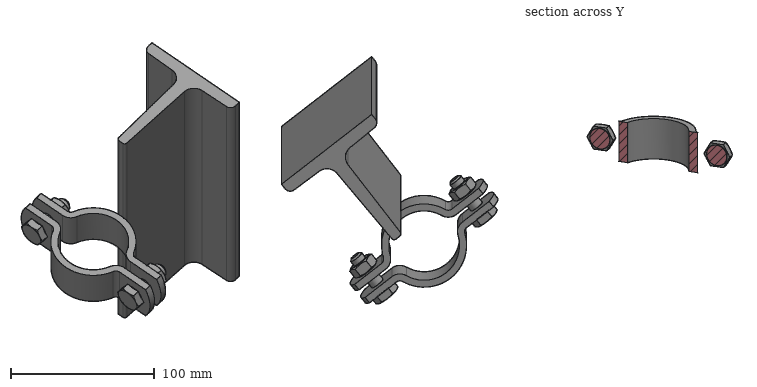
import cadquery as cq
import math

post_length = 200.0
post_width = 80.0
post_depth = 80.0
flange_thickness = 9.0
web_thickness = 9.0
rolled_slope = 0.02
root_radius = flange_thickness
toe_radius = flange_thickness / 2
tip_radius = 2.0

clamp_height = 30.0
clamp_span = 118.0
strap_thickness = 5.0
ring_outer_radius = 29.5
ring_inner_radius = ring_outer_radius - strap_thickness
ear_gap = 6.8
ear_inner_y = ear_gap / 2
ear_outer_y = ear_inner_y + strap_thickness
ear_end_radius = 30.0
bend_outer_radius = 4.0
bend_inner_radius = bend_outer_radius + strap_thickness
weld_overlap = 0.2

bolt_spacing = 88.0
bolt_diameter = 10.0
bolt_length = 30.2
bolt_end_chamfer = 1.5
hex_across_flats = 17.0
hex_across_corners = hex_across_flats / math.cos(math.pi / 6)
head_height = 6.5
nut_height = 8.2
nut_bevel_diameter = 15.5
head_bevel_diameter = hex_across_flats
washer_face_diameter = 15.5
washer_face_height = 0.5
hex_bevel_angle = math.radians(30)
hex_margin = 2.0

web_tip_y = ring_outer_radius - weld_overlap
flange_back_y = web_tip_y + post_depth


def make_post():
    """Tapered T section with rounded toes, roots and web tip."""
    half_width = post_width / 2

    def flange_face_y(x):
        return flange_back_y - flange_thickness - rolled_slope * (half_width / 2 - x)

    def web_half_at(y):
        return web_thickness / 2 + rolled_slope * (y - web_tip_y - post_depth / 2)

    toe_y = flange_face_y(half_width)
    root_x = web_half_at(flange_face_y(web_thickness / 2))
    root_y = flange_face_y(root_x)
    tip_x = web_half_at(web_tip_y)
    right_side = [
        (half_width, flange_back_y),
        (half_width, toe_y),
        (root_x, root_y),
        (tip_x, web_tip_y),
    ]
    left_side = [(-x, y) for x, y in reversed(right_side)]
    post = (
        cq.Workplane("XY")
        .polyline(right_side + left_side)
        .close()
        .extrude(post_length / 2, both=True)
    )
    rounded_corners = [
        ((half_width, toe_y), toe_radius),
        ((root_x, root_y), root_radius),
        ((tip_x, web_tip_y), tip_radius),
    ]
    for (x, y), radius in rounded_corners:
        for side in (-1, 1):
            corner_edge = cq.selectors.NearestToPointSelector((side * x, y, 0))
            post = post.edges("|Z").edges(corner_edge).fillet(radius)
    return post


def make_clamp_half():
    """Half of the clamp on the +Y side: an arched strap with two flat ears."""
    half_span = clamp_span / 2
    bend_y = ear_outer_y + bend_outer_radius
    bend_distance = ring_outer_radius + bend_outer_radius
    bend_angle = math.asin(bend_y / bend_distance)
    bend_x = bend_distance * math.cos(bend_angle)
    bend_mid_angle = (bend_angle + math.pi + 1.5 * math.pi) / 2

    def bend_middle(radius):
        return bend_x + radius * math.cos(bend_mid_angle), bend_y + radius * math.sin(bend_mid_angle)

    def ring_point(radius):
        return radius * math.cos(bend_angle), radius * math.sin(bend_angle)

    def mirrored(point):
        return -point[0], point[1]

    outer_bend = bend_middle(bend_outer_radius)
    inner_bend = bend_middle(bend_inner_radius)
    outer_end = ring_point(ring_outer_radius)
    inner_end = ring_point(ring_inner_radius)
    strap = (
        cq.Workplane("XY")
        .moveTo(half_span, ear_outer_y)
        .lineTo(bend_x, ear_outer_y)
        .threePointArc(outer_bend, outer_end)
        .threePointArc((0, ring_outer_radius), mirrored(outer_end))
        .threePointArc(mirrored(outer_bend), (-bend_x, ear_outer_y))
        .lineTo(-half_span, ear_outer_y)
        .lineTo(-half_span, ear_inner_y)
        .lineTo(-bend_x, ear_inner_y)
        .threePointArc(mirrored(inner_bend), mirrored(inner_end))
        .threePointArc((0, ring_inner_radius), inner_end)
        .threePointArc(inner_bend, (bend_x, ear_inner_y))
        .lineTo(half_span, ear_inner_y)
        .close()
        .extrude(clamp_height / 2, both=True)
    )
    return strap.intersect(make_ear_outline())


def make_ear_outline():
    """Block along Y whose two ends are the arcs that round the ears."""
    half_span = clamp_span / 2
    half_height = clamp_height / 2
    arc_rise = ear_end_radius - math.sqrt(ear_end_radius**2 - half_height**2)
    corner_x = half_span - arc_rise
    return (
        cq.Workplane("XZ")
        .moveTo(-corner_x, -half_height)
        .lineTo(corner_x, -half_height)
        .threePointArc((half_span, 0), (corner_x, half_height))
        .lineTo(-corner_x, half_height)
        .threePointArc((-half_span, 0), (-corner_x, -half_height))
        .close()
        .extrude(2 * ring_outer_radius, both=True)
    )


def make_hexagon(height, bevel_diameter):
    """Hexagon standing on Z = 0, its upper corners bevelled by a cone."""
    corner_radius = hex_across_corners / 2
    bevel_radius = bevel_diameter / 2
    blank_radius = corner_radius + hex_margin
    bevel_drop = (blank_radius - bevel_radius) * math.tan(hex_bevel_angle)
    bevel_cone = (
        cq.Workplane("XZ")
        .lineTo(blank_radius, 0)
        .lineTo(blank_radius, height - bevel_drop)
        .lineTo(bevel_radius, height)
        .lineTo(0, height)
        .close()
        .revolve(360, (0, 0, 0), (0, 1, 0))
    )
    return cq.Workplane("XY").polygon(6, hex_across_corners).extrude(height).intersect(bevel_cone)


def make_bolt():
    """Bolt along +Y on the Y axis, with its head and nut against the ears."""
    shank = (
        cq.Workplane("XY")
        .workplane(offset=-ear_outer_y)
        .circle(bolt_diameter / 2)
        .extrude(bolt_length)
        .faces(">Z")
        .chamfer(bolt_end_chamfer)
    )
    half_nut = make_hexagon(nut_height / 2, nut_bevel_diameter)
    nut = half_nut.union(half_nut.mirror("XY")).translate((0, 0, ear_outer_y + nut_height / 2))
    head = (
        make_hexagon(head_height - washer_face_height, head_bevel_diameter)
        .translate((0, 0, washer_face_height))
        .union(cq.Workplane("XY").circle(washer_face_diameter / 2).extrude(washer_face_height))
        .translate((0, 0, ear_outer_y))
        .mirror("XY")
    )
    bolt = shank.union(nut).union(head)
    return bolt.rotate((0, 0, 0), (1, 0, 0), -90)


clamp_half = make_clamp_half()
bolt = make_bolt()

result = make_post().union(clamp_half).union(clamp_half.mirror("XZ"))
for side in (-1, 1):
    result = result.union(bolt.translate((side * bolt_spacing / 2, 0, 0)))